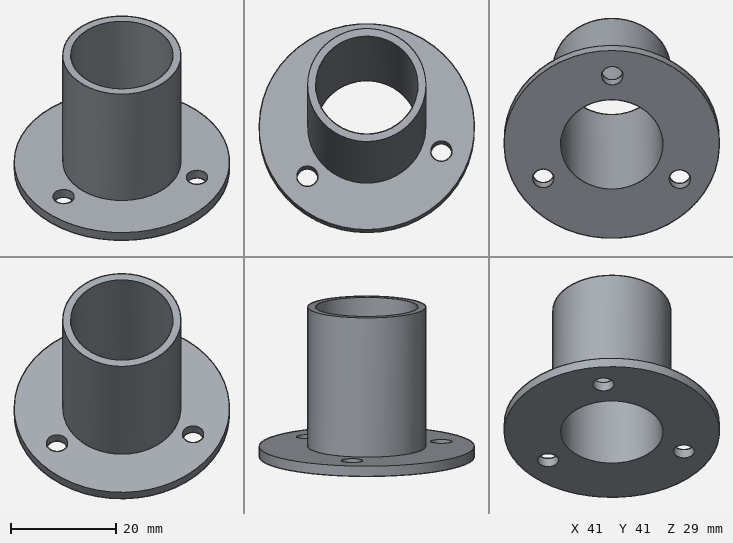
import cadquery as cq

flange_diameter = 41.0
flange_thickness = 2.0
total_height = 29.0
tube_outer_diameter = 22.5
tube_wall = 1.5
hole_count = 3
hole_diameter = 4.0
hole_circle_radius = 15.0

bore_diameter = tube_outer_diameter - 2 * tube_wall

flange = cq.Workplane("XY").circle(flange_diameter / 2).extrude(flange_thickness)
tube = cq.Workplane("XY").circle(tube_outer_diameter / 2).extrude(total_height)

bore = cq.Workplane("XY").circle(bore_diameter / 2).extrude(total_height)

mounting_holes = (
    cq.Workplane("XY")
    .polarArray(hole_circle_radius, 0, 360, hole_count)
    .circle(hole_diameter / 2)
    .extrude(flange_thickness)
)

result = flange.union(tube).cut(bore).cut(mounting_holes)